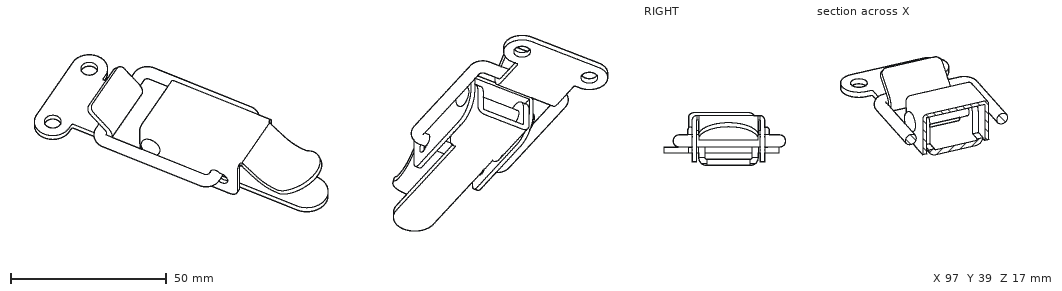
import cadquery as cq
import math


LENGTH = 97.05

WIRE_D = 4.0
WIRE_R = WIRE_D / 2
BAIL_X = 22.4
BAIL_LENGTH = 41.0
BAIL_WIDTH = 32.1
BAIL_Y = 0.3
BAIL_Z = 7.9
BAIL_BEND_R = 2.9

STRIKE_T = 1.9
STRIKE_Y = -2.2
STRIKE_Z = BAIL_Z - WIRE_R - STRIKE_T
PAD_R = 5.9
PAD_HOLE_D = 5.3
PAD_HOLE_SPACING = 25.1
NECK_WIDTH = 21.1
NECK_FILLET = 0.5
FLAP_ANGLE = 42.0
FLAP_LENGTH = 9.3
FLAP_CORNER_R = 2.0

BASE_T = 2.0
BASE_X = 34.8
BASE_WIDTH = 19.1
BASE_BEND_R = 2.5
CHANNEL_END_X = 53.3
CHANNEL_END_CHAMFER = 1.9
TONGUE_WIDTH = 13.8

RIVET_X = 40.0
RIVET_Z = 9.0
RIVET_R = 2.2
HEAD_R = 3.3
HEAD_T = 1.5
HEAD_OUTER_ROUND = 1.0
HEAD_INNER_ROUND = 0.4
EAR_R = RIVET_X - BASE_X

LEVER_T = 1.5
LEVER_X = 35.7
LEVER_END_X = 71.2
LEVER_WIDTH = 23.3
LEVER_BOTTOM = 1.2
LEVER_TOP = 16.0
LEVER_BEND_R = 1.6
LEVER_FRONT_R = 7.8
LEVER_REAR_R = 2.8
BAIL_HOLE_X = 65.4
BAIL_HOLE_Z = 7.1
BAIL_HOLE_D = 4.4

TAB_WIDTH = 19.0
TAB_X = 71.7
TAB_DROP_ANGLE = 36.0
TAB_CURVE_X = 77.2
TAB_LOW_X = 84.8
TIP_ANGLE = 26.0
TIP_BEND_R = 1.5
TIP_STRAIGHT = 1.4
TIP_ROUND_LENGTH = 7.8


def prism_along_y(profile, width, y_centre=0.0):
    """Extrude an XZ profile symmetrically about the plane y = y_centre."""
    return profile.extrude(width).translate((0, y_centre + width / 2, 0))


def cylinder_along_y(x, z, radius, width):
    return prism_along_y(cq.Workplane("XZ").center(x, z).circle(radius), width)


def make_bail():
    """Round wire swept along a rectangle with rounded corners."""
    straight_x = BAIL_LENGTH / 2 - BAIL_BEND_R
    straight_y = BAIL_WIDTH / 2 - BAIL_BEND_R
    path = (
        cq.Workplane("XY")
        .moveTo(0, -BAIL_WIDTH / 2)
        .lineTo(straight_x, -BAIL_WIDTH / 2)
        .radiusArc((BAIL_LENGTH / 2, -straight_y), -BAIL_BEND_R)
        .lineTo(BAIL_LENGTH / 2, straight_y)
        .radiusArc((straight_x, BAIL_WIDTH / 2), -BAIL_BEND_R)
        .lineTo(-straight_x, BAIL_WIDTH / 2)
        .radiusArc((-BAIL_LENGTH / 2, straight_y), -BAIL_BEND_R)
        .lineTo(-BAIL_LENGTH / 2, -straight_y)
        .radiusArc((-straight_x, -BAIL_WIDTH / 2), -BAIL_BEND_R)
        .close()
    )
    section = cq.Workplane("YZ", origin=(0, -BAIL_WIDTH / 2, 0)).circle(WIRE_R)
    return section.sweep(path).translate((BAIL_X + BAIL_LENGTH / 2, BAIL_Y, BAIL_Z))


def make_strike():
    """T-shaped plate with two screw holes, its neck curled round the bail and back up."""
    hole_y = PAD_HOLE_SPACING / 2
    pad = (
        cq.Workplane("XY")
        .center(PAD_R, 0)
        .slot2D(PAD_HOLE_SPACING + 2 * PAD_R, 2 * PAD_R, 90)
        .extrude(STRIKE_T)
    )
    neck = cq.Workplane("XY").box(BAIL_X - PAD_R, NECK_WIDTH, STRIKE_T, centered=(False, True, False))
    plate = pad.union(neck.translate((PAD_R, 0, 0)))

    inner_corners = cq.selectors.BoxSelector(
        (PAD_R, -NECK_WIDTH, 0), (BAIL_X - NECK_FILLET, NECK_WIDTH, STRIKE_T)
    )
    plate = plate.edges("|Z").edges(inner_corners).fillet(NECK_FILLET)
    holes = cq.Workplane("XY").pushPoints([(PAD_R, -hole_y), (PAD_R, hole_y)]).circle(PAD_HOLE_D / 2)
    plate = plate.cut(holes.extrude(STRIKE_T)).translate((0, STRIKE_Y, STRIKE_Z))

    outer_r = WIRE_R + STRIKE_T
    normal_angle = math.radians(90 - FLAP_ANGLE)
    normal = (math.cos(normal_angle), math.sin(normal_angle))

    def on_curl(radius):
        return (BAIL_X + radius * normal[0], BAIL_Z + radius * normal[1])

    curl = (
        cq.Workplane("XZ")
        .moveTo(BAIL_X, BAIL_Z - outer_r)
        .threePointArc((BAIL_X + outer_r, BAIL_Z), on_curl(outer_r))
        .lineTo(*on_curl(WIRE_R))
        .threePointArc((BAIL_X + WIRE_R, BAIL_Z), (BAIL_X, BAIL_Z - WIRE_R))
        .close()
    )
    curl = prism_along_y(curl, NECK_WIDTH, STRIKE_Y)

    flap_x, flap_z = on_curl(WIRE_R)
    flap_plane = cq.Plane(
        origin=(flap_x, STRIKE_Y, flap_z), xDir=(-normal[1], 0, normal[0]), normal=(normal[0], 0, normal[1])
    )
    flap = (
        cq.Workplane(flap_plane)
        .rect(FLAP_LENGTH, NECK_WIDTH)
        .extrude(STRIKE_T)
        .translate((-normal[1] * FLAP_LENGTH / 2, 0, normal[0] * FLAP_LENGTH / 2))
    )
    free_end = cq.selectors.DirectionMinMaxSelector(cq.Vector(-normal[1], 0, normal[0]), True)
    flap = flap.faces(free_end).edges("#Y").fillet(FLAP_CORNER_R)
    return plate.union(curl).union(flap)


def make_base():
    """Channel with ears round the rivet, a flat tongue behind it, and the rivet itself."""
    ear_top = RIVET_Z + EAR_R
    channel_length = CHANNEL_END_X - BASE_X
    inner_bend_r = BASE_BEND_R - BASE_T
    outer = cq.Workplane("XY").box(channel_length, BASE_WIDTH, ear_top, centered=(False, True, False))
    outer = outer.edges("|X and <Z").fillet(BASE_BEND_R)
    inner = cq.Workplane("XY").box(
        channel_length, BASE_WIDTH - 2 * BASE_T, ear_top, centered=(False, True, False)
    )
    inner = inner.edges("|X and <Z").fillet(inner_bend_r).translate((0, 0, BASE_T))
    channel = outer.cut(inner).translate((BASE_X, 0, 0))

    side = (
        cq.Workplane("XZ")
        .moveTo(BASE_X, 0)
        .lineTo(BASE_X, RIVET_Z)
        .threePointArc((RIVET_X, ear_top), (RIVET_X + EAR_R, RIVET_Z))
        .lineTo(RIVET_X + EAR_R, BASE_BEND_R)
        .lineTo(CHANNEL_END_X - CHANNEL_END_CHAMFER, BASE_BEND_R)
        .lineTo(CHANNEL_END_X, BASE_BEND_R - CHANNEL_END_CHAMFER)
        .lineTo(CHANNEL_END_X, 0)
        .close()
    )
    channel = channel.intersect(prism_along_y(side, BASE_WIDTH))

    tongue_r = TONGUE_WIDTH / 2
    tongue_end = LENGTH - tongue_r
    tongue_length = tongue_end - BASE_X
    tongue = cq.Workplane("XY").box(tongue_length, TONGUE_WIDTH, BASE_T, centered=(False, True, False))
    tongue = tongue.translate((BASE_X, 0, 0))
    tip = cq.Workplane("XY").center(tongue_end, 0).circle(tongue_r).extrude(BASE_T)

    base = channel.union(tongue).union(tip)
    return base.union(make_rivet())


def make_rivet():
    """Shank across the whole lever with a rounded head on each side."""
    shank = cylinder_along_y(RIVET_X, RIVET_Z, RIVET_R, LEVER_WIDTH)
    head = cylinder_along_y(RIVET_X, RIVET_Z, HEAD_R, HEAD_T)
    head = head.faces("<Y").edges().fillet(HEAD_OUTER_ROUND)
    head = head.faces(">Y").edges().fillet(HEAD_INNER_ROUND)
    head = head.translate((0, -(LEVER_WIDTH + HEAD_T) / 2, 0))
    return shank.union(head).union(head.mirror("XZ"))


def make_tab():
    """Thumb tab: straight drop, long upward curve, then a round tilted tip."""
    drop = math.radians(TAB_DROP_ANGLE)
    tip_tilt = math.radians(TIP_ANGLE)
    curve_r = (TAB_LOW_X - TAB_CURVE_X) / math.sin(drop)
    curve_top = LEVER_TOP - (TAB_CURVE_X - TAB_X) * math.tan(drop)
    centre_z = curve_top + curve_r * math.cos(drop)
    low_top = centre_z - curve_r

    def on_curve(radius, angle):
        return (TAB_LOW_X - radius * math.sin(angle), centre_z - radius * math.cos(angle))

    lower_r = curve_r + LEVER_T
    under_x = TAB_X - LEVER_T * math.tan(drop / 2)
    profile = (
        cq.Workplane("XZ")
        .moveTo(LEVER_END_X, LEVER_TOP)
        .lineTo(TAB_X, LEVER_TOP)
        .lineTo(*on_curve(curve_r, drop))
        .threePointArc(on_curve(curve_r, drop / 2), (TAB_LOW_X, low_top))
        .lineTo(TAB_LOW_X, low_top - LEVER_T)
        .threePointArc(on_curve(lower_r, drop / 2), on_curve(lower_r, drop))
        .lineTo(under_x, LEVER_TOP - LEVER_T)
        .lineTo(LEVER_END_X, LEVER_TOP - LEVER_T)
        .close()
    )
    tab = prism_along_y(profile, TAB_WIDTH)

    bend_z = low_top + TIP_BEND_R

    def on_bend(radius, angle):
        return (TAB_LOW_X + radius * math.sin(angle), bend_z - radius * math.cos(angle))

    bend_outer_r = TIP_BEND_R + LEVER_T
    bend = (
        cq.Workplane("XZ")
        .moveTo(*on_bend(TIP_BEND_R, 0))
        .threePointArc(on_bend(TIP_BEND_R, tip_tilt / 2), on_bend(TIP_BEND_R, tip_tilt))
        .lineTo(*on_bend(bend_outer_r, tip_tilt))
        .threePointArc(on_bend(bend_outer_r, tip_tilt / 2), on_bend(bend_outer_r, 0))
        .close()
    )

    tip_x, tip_z = on_bend(TIP_BEND_R, tip_tilt)
    tip_plane = cq.Plane(
        origin=(tip_x, 0, tip_z),
        xDir=(math.cos(tip_tilt), 0, math.sin(tip_tilt)),
        normal=(-math.sin(tip_tilt), 0, math.cos(tip_tilt)),
    )
    half_width = TAB_WIDTH / 2
    tip = (
        cq.Workplane(tip_plane)
        .moveTo(0, -half_width)
        .lineTo(TIP_STRAIGHT, -half_width)
        .threePointArc((TIP_STRAIGHT + TIP_ROUND_LENGTH, 0), (TIP_STRAIGHT, half_width))
        .lineTo(0, half_width)
        .close()
        .extrude(-LEVER_T)
    )

    root_half_width = LEVER_WIDTH / 2 - LEVER_BEND_R
    root = (
        cq.Workplane("XY", origin=(0, 0, LEVER_TOP))
        .moveTo(LEVER_END_X, -root_half_width)
        .lineTo(TAB_X, -half_width)
        .lineTo(TAB_X, half_width)
        .lineTo(LEVER_END_X, root_half_width)
        .close()
        .extrude(-LEVER_T)
    )
    return tab.union(prism_along_y(bend, TAB_WIDTH)).union(tip).union(root)


def make_lever():
    """Inverted channel over the base, with the thumb tab at its rear end."""
    body_length = LEVER_END_X - LEVER_X
    height = LEVER_TOP - LEVER_BOTTOM
    shell = cq.Workplane("XY").box(body_length, LEVER_WIDTH, height, centered=(False, True, False))
    shell = shell.edges("|X and >Z").fillet(LEVER_BEND_R)
    shell = shell.edges("|Y and <X and <Z").fillet(LEVER_FRONT_R)
    shell = shell.edges("|Y and >X and <Z").fillet(LEVER_REAR_R)
    cavity = cq.Workplane("XY").box(
        body_length, LEVER_WIDTH - 2 * LEVER_T, height - LEVER_T, centered=(False, True, False)
    )
    lever = shell.cut(cavity).translate((LEVER_X, 0, LEVER_BOTTOM)).union(make_tab())

    lever = lever.cut(cylinder_along_y(RIVET_X, RIVET_Z, RIVET_R, LEVER_WIDTH))
    lever = lever.cut(cylinder_along_y(BAIL_HOLE_X, BAIL_HOLE_Z, BAIL_HOLE_D / 2, LEVER_WIDTH))
    return lever.cut(cylinder_along_y(BAIL_X + BAIL_LENGTH, BAIL_Z, WIRE_R, LEVER_WIDTH))


bail = make_bail()
strike = make_strike()
base = make_base()
lever = make_lever()

bodies = [strike, bail, base, lever]
result = cq.Compound.makeCompound([body.solids().val() for body in bodies])